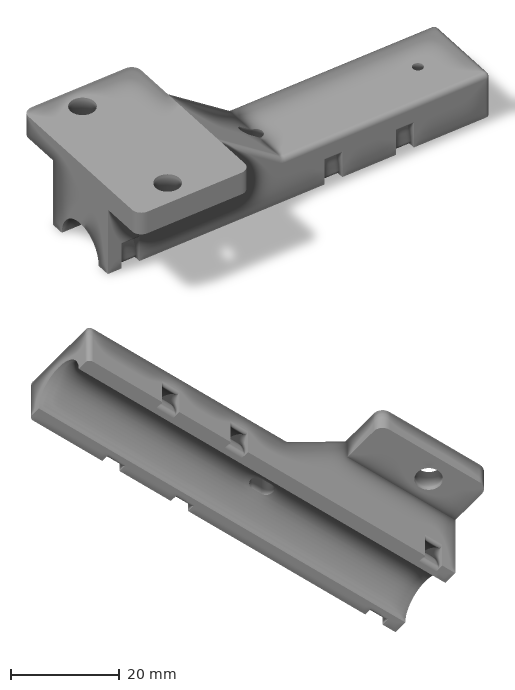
import cadquery as cq

length = 85.0
arm_width = 18.0
total_height = 20.0
arm_height = 9.95
slope_foot_y = 39.0
edge_radius = 1.0

plate_width = 38.0
plate_depth = 25.0
plate_thickness = 5.0
plate_corner_radius = 2.0
screw_hole_diameter = 5.3
screw_hole_spacing = 27.9
screw_hole_y = 9.95

channel_radius = 6.0

groove_inner_radius = 8.0
groove_outer_radius = 9.9
groove_width = 4.0
groove_centers_y = (5.0, 50.1, 66.0)
groove_inlet_radius = 0.5
groove_exit_radius = 0.8

pin_hole_diameter = 2.2
pin_hole_y = 75.0
pin_hole_depth = 2.0
slot_width = 2.9
slot_length = 5.1
slot_y = 37.9


def make_arm():
    """Bar with a sloped rise, rounded at the slope foot, top edges and rear end."""
    arm = (
        cq.Workplane("YZ")
        .moveTo(0, 0)
        .lineTo(length, 0)
        .lineTo(length, arm_height)
        .lineTo(slope_foot_y, arm_height)
        .lineTo(plate_depth, total_height)
        .lineTo(0, total_height)
        .close()
        .extrude(arm_width / 2, both=True)
    )
    slope_foot = cq.selectors.NearestToPointSelector((0, slope_foot_y, arm_height))
    arm = arm.edges(slope_foot).fillet(edge_radius)

    mid_bar_y = (length + slope_foot_y) / 2
    mid_slope = ((slope_foot_y + plate_depth) / 2, (arm_height + total_height) / 2)
    half_width = arm_width / 2
    rounded_edges = arm.edges(cq.selectors.NearestToPointSelector((0, length, arm_height)))
    for side in (-half_width, half_width):
        edge_points = (
            (side, mid_bar_y, arm_height),
            (side, *mid_slope),
            (side, length, arm_height / 2),
        )
        for point in edge_points:
            rounded_edges = rounded_edges.add(arm.edges(cq.selectors.NearestToPointSelector(point)))
    return rounded_edges.fillet(edge_radius)


def make_plate():
    """Flat plate with rounded corners, flush with the top of the rise."""
    return (
        cq.Workplane("XY", origin=(0, plate_depth / 2, total_height - plate_thickness))
        .rect(plate_width, plate_depth)
        .extrude(plate_thickness)
        .edges("|Z")
        .fillet(plate_corner_radius)
    )


def cylinder_along_y(radius, start_y, depth):
    return cq.Workplane("XZ", origin=(0, start_y, 0)).circle(radius).extrude(-depth)


def cut_groove(body, center_y):
    """Cut one ring-shaped tunnel and round the edges the strap bends over."""
    start_y = center_y - groove_width / 2
    ring = cylinder_along_y(groove_outer_radius, start_y, groove_width).cut(
        cylinder_along_y(groove_inner_radius, start_y, groove_width)
    )
    body = body.cut(ring)

    half_width = arm_width / 2
    inlet_z = (groove_outer_radius**2 - half_width**2) ** 0.5
    for side in (-1, 1):
        inlet_point = (side * half_width, center_y, inlet_z)
        inlet = cq.selectors.NearestToPointSelector(inlet_point)
        body = body.edges(inlet).fillet(groove_inlet_radius)
        exit_point = (side * groove_inner_radius, center_y, 0)
        body = body.edges(cq.selectors.NearestToPointSelector(exit_point)).fillet(groove_exit_radius)
    return body


def cut_top_openings(body):
    screw_holes = (
        cq.Workplane("XY")
        .pushPoints([(-screw_hole_spacing / 2, screw_hole_y), (screw_hole_spacing / 2, screw_hole_y)])
        .circle(screw_hole_diameter / 2)
        .extrude(total_height)
    )
    pin_hole = (
        cq.Workplane("XY", origin=(0, pin_hole_y, arm_height))
        .circle(pin_hole_diameter / 2)
        .extrude(-pin_hole_depth)
    )
    slot = (
        cq.Workplane("XY", origin=(0, slot_y, 0))
        .slot2D(slot_length, slot_width, 90)
        .extrude(total_height)
    )
    return body.cut(screw_holes).cut(pin_hole).cut(slot)


result = make_arm().union(make_plate())
result = result.cut(cylinder_along_y(channel_radius, 0, length))
for groove_center_y in groove_centers_y:
    result = cut_groove(result, groove_center_y)
result = cut_top_openings(result)